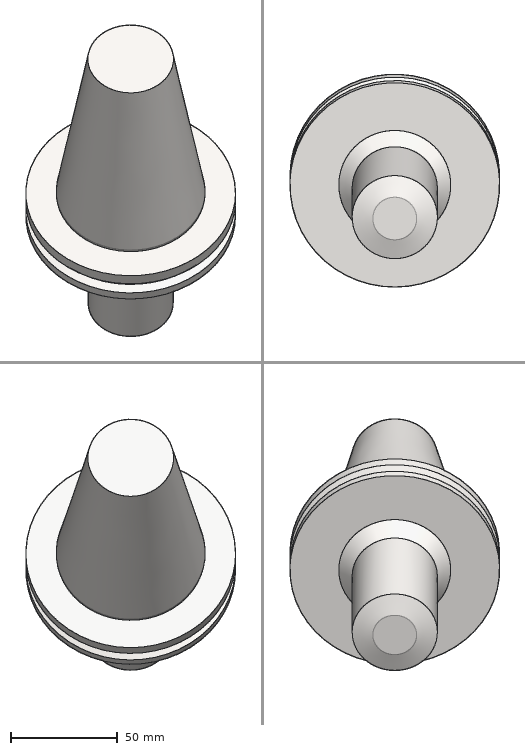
import cadquery as cq

total_height = 190.5
nose_height = 2.9
shank_top = 62.9
flange_bottom = 69.7
flange_top = 87.6
gauge_height = 88.8

nose_tip_diameter = 20.5
shank_diameter = 40.0
collar_diameter = 52.5
flange_diameter = 98.5
groove_diameter = 91.2
gauge_diameter = 70.0

taper_ratio = 7 / 24
taper_end_diameter = gauge_diameter - taper_ratio * (total_height - gauge_height)

groove_center = 78.0
groove_floor_width = 3.5
groove_mouth_width = 7.0


def frustum(bottom, top, bottom_diameter, top_diameter):
    """Solid of revolution about Z with straight sides between two heights."""
    return (
        cq.Workplane("XZ")
        .moveTo(0, bottom)
        .lineTo(bottom_diameter / 2, bottom)
        .lineTo(top_diameter / 2, top)
        .lineTo(0, top)
        .close()
        .revolve(360, (0, 0, 0), (0, 1, 0))
    )


def gripper_groove():
    """Ring with sloping walls that is cut out of the flange rim."""
    floor_half = groove_floor_width / 2
    mouth_half = groove_mouth_width / 2
    return (
        cq.Workplane("XZ")
        .moveTo(flange_diameter / 2, groove_center - mouth_half)
        .lineTo(groove_diameter / 2, groove_center - floor_half)
        .lineTo(groove_diameter / 2, groove_center + floor_half)
        .lineTo(flange_diameter / 2, groove_center + mouth_half)
        .close()
        .revolve(360, (0, 0, 0), (0, 1, 0))
    )


nose = frustum(0, nose_height, nose_tip_diameter, shank_diameter)
shank = frustum(nose_height, shank_top, shank_diameter, shank_diameter)
collar = frustum(shank_top, flange_bottom, shank_diameter, collar_diameter)
flange = frustum(flange_bottom, flange_top, flange_diameter, flange_diameter).cut(gripper_groove())
gauge_step = frustum(flange_top, gauge_height, gauge_diameter, gauge_diameter)
taper = frustum(gauge_height, total_height, gauge_diameter, taper_end_diameter)

result = nose.union(shank).union(collar).union(flange).union(gauge_step).union(taper)